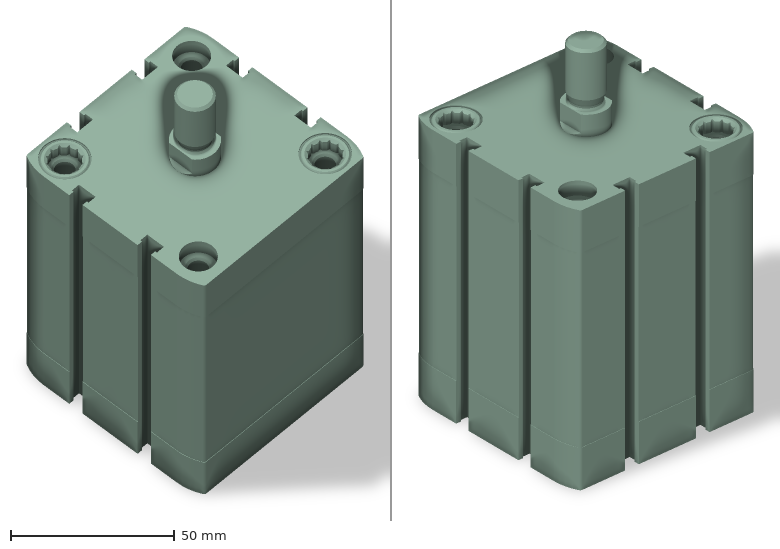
import cadquery as cq
import math

width = 75.5
total_height = 129.9
housing_height = 100.0
cap_height = 15.2
tube_inset = 0.1
corner_radius = 19.5
corner_edge_fillet = 1.0

slot_offset = 14.4
slot_neck_width = 5.6
slot_inner_width = 7.0
slot_neck_depth = 2.0
slot_depth = 5.1

hole_offset = 28.2
hole_diameter = 6.6
counterbore_diameter = 12.0
counterbore_depth = 5.3
countersink_diameter = 8.0
countersink_depth = 0.6

head_diameter = 15.5
head_top_diameter = 14.5
head_gap_diameter = 16.4
head_gap_depth = 0.5
socket_notches = 12
socket_notch_width = 1.3
socket_bore_diameter = 10.7
socket_notch_diameter = 12.0
socket_mouth_diameter = 12.7
socket_depth = 4.8
socket_mouth_depth = 0.9

rod_diameter = 16.0
rod_embed_depth = cap_height
collar_top = 108.0
flat_width = 12.7
flat_bottom = 101.3
neck_diameter = 10.7
neck_foot_diameter = 12.0
neck_foot_height = 0.6
neck_top = 109.2
thread_diameter = 12.7
thread_bottom = 112.1
tip_chamfer = 0.9


def profile_block(inset, bottom, height):
    """Square block with wide arcs at the corners, tangent to the -Y and +Y sides."""
    half = width / 2 - inset
    arc_start = hole_offset
    arc_center = half - corner_radius
    end_angle = math.acos((half - arc_start) / corner_radius)
    mid_angle = (end_angle + math.pi / 2) / 2

    def arc_point(angle):
        return (
            arc_start + corner_radius * math.cos(angle),
            arc_center + corner_radius * math.sin(angle),
        )

    end_x, end_y = arc_point(end_angle)
    mid_x, mid_y = arc_point(mid_angle)
    block = (
        cq.Workplane("XY", origin=(0, 0, bottom))
        .moveTo(-arc_start, half)
        .lineTo(arc_start, half)
        .threePointArc((mid_x, mid_y), (end_x, end_y))
        .lineTo(end_x, -end_y)
        .threePointArc((mid_x, -mid_y), (arc_start, -half))
        .lineTo(-arc_start, -half)
        .threePointArc((-mid_x, -mid_y), (-end_x, -end_y))
        .lineTo(-end_x, end_y)
        .threePointArc((-mid_x, mid_y), (-arc_start, half))
        .close()
        .extrude(height)
    )
    for side in ("<X", ">X"):
        block = block.faces(side).edges("|Z").fillet(corner_edge_fillet)
    return block


def t_slot(offset, side_angle):
    """Full-height T-slot cutter on the +Y side, turned about Z by side_angle."""
    outer = width / 2
    neck = (
        cq.Workplane("XY")
        .center(offset, outer - slot_depth / 2)
        .rect(slot_neck_width, slot_depth)
        .extrude(housing_height)
    )
    inner_depth = slot_depth - slot_neck_depth
    inner = (
        cq.Workplane("XY")
        .center(offset, outer - slot_depth + inner_depth / 2)
        .rect(slot_inner_width, inner_depth)
        .extrude(housing_height)
    )
    return neck.union(inner).rotate((0, 0, 0), (0, 0, 1), side_angle)


def screw_hole(floor):
    """Through hole countersunk up to the floor height of its recess, centred on the Z axis."""
    hole_radius = hole_diameter / 2
    return (
        cq.Workplane("XZ")
        .moveTo(0, 0)
        .lineTo(hole_radius, 0)
        .lineTo(hole_radius, floor - countersink_depth)
        .lineTo(countersink_diameter / 2, floor)
        .lineTo(0, floor)
        .close()
        .revolve(360, (0, 0, 0), (0, 1, 0))
    )


def counterbore():
    """Plain round counterbore."""
    return (
        cq.Workplane("XY", origin=(0, 0, housing_height - counterbore_depth))
        .circle(counterbore_diameter / 2)
        .extrude(counterbore_depth)
    )


def screw_socket():
    """Round socket with pointed notches around its wall and a conical mouth."""
    floor = housing_height - socket_depth
    socket = (
        cq.Workplane("XY", origin=(0, 0, floor))
        .circle(socket_bore_diameter / 2)
        .extrude(socket_depth)
    )
    half_notch = socket_notch_width / 2
    notch_base = math.sqrt((socket_bore_diameter / 2) ** 2 - half_notch ** 2)
    notch = (
        cq.Workplane("XY", origin=(0, 0, floor))
        .moveTo(0, 0)
        .lineTo(notch_base, -half_notch)
        .lineTo(socket_notch_diameter / 2, 0)
        .lineTo(notch_base, half_notch)
        .close()
        .extrude(socket_depth)
    )
    for i in range(socket_notches):
        socket = socket.union(notch.rotate((0, 0, 0), (0, 0, 1), 360 * i / socket_notches))
    mouth_floor = housing_height - socket_mouth_depth
    mouth = (
        cq.Workplane("XZ")
        .moveTo(0, mouth_floor)
        .lineTo(socket_bore_diameter / 2, mouth_floor)
        .lineTo(socket_mouth_diameter / 2, housing_height)
        .lineTo(0, housing_height)
        .close()
        .revolve(360, (0, 0, 0), (0, 1, 0))
    )
    return socket.union(mouth)


def head_gap():
    """Ring groove around the screw head, whose rim is chamfered."""
    floor = housing_height - head_gap_depth
    return (
        cq.Workplane("XZ")
        .moveTo(head_diameter / 2, floor)
        .lineTo(head_gap_diameter / 2, floor)
        .lineTo(head_gap_diameter / 2, housing_height)
        .lineTo(head_top_diameter / 2, housing_height)
        .close()
        .revolve(360, (0, 0, 0), (0, 1, 0))
    )


def rod_bore():
    """Blind bore in the top cap that holds the rod."""
    return (
        cq.Workplane("XY", origin=(0, 0, housing_height - rod_embed_depth))
        .circle(rod_diameter / 2)
        .extrude(rod_embed_depth)
    )


def make_housing():
    body = profile_block(0, 0, cap_height)
    body = body.union(profile_block(tube_inset, cap_height, housing_height - 2 * cap_height))
    body = body.union(profile_block(0, housing_height - cap_height, cap_height))
    for side_angle in (0, 90, 180):
        for offset in (-slot_offset, slot_offset):
            body = body.cut(t_slot(offset, side_angle))
    for x_side in (-1, 1):
        for y_side in (-1, 1):
            place = (x_side * hole_offset, y_side * hole_offset, 0)
            if x_side == y_side:
                recess_depth = socket_depth
                body = body.cut(screw_socket().translate(place))
                body = body.cut(head_gap().translate(place))
            else:
                recess_depth = counterbore_depth
                body = body.cut(counterbore().translate(place))
            body = body.cut(screw_hole(housing_height - recess_depth).translate(place))
    return body.cut(rod_bore())


def flat_cutter():
    """Cutter for the +Y wrench flat, with a floor that slopes down to the rod's surface."""
    rod_radius = rod_diameter / 2
    return (
        cq.Workplane("YZ")
        .moveTo(flat_width / 2, flat_bottom)
        .lineTo(rod_radius, housing_height)
        .lineTo(rod_diameter, housing_height)
        .lineTo(rod_diameter, collar_top)
        .lineTo(flat_width / 2, collar_top)
        .close()
        .extrude(rod_radius, both=True)
    )


def make_rod():
    bottom = housing_height - rod_embed_depth
    rod = (
        cq.Workplane("XZ")
        .moveTo(0, bottom)
        .lineTo(rod_diameter / 2, bottom)
        .lineTo(rod_diameter / 2, collar_top)
        .lineTo(neck_foot_diameter / 2, collar_top)
        .lineTo(neck_diameter / 2, collar_top + neck_foot_height)
        .lineTo(neck_diameter / 2, neck_top)
        .lineTo(thread_diameter / 2, thread_bottom)
        .lineTo(thread_diameter / 2, total_height - tip_chamfer)
        .lineTo(thread_diameter / 2 - tip_chamfer, total_height)
        .lineTo(0, total_height)
        .close()
        .revolve(360, (0, 0, 0), (0, 1, 0))
    )
    for side_angle in (0, 180):
        rod = rod.cut(flat_cutter().rotate((0, 0, 0), (0, 0, 1), side_angle))
    return rod


housing = make_housing()
rod = make_rod()

result = cq.Compound.makeCompound([housing.val(), rod.val()])